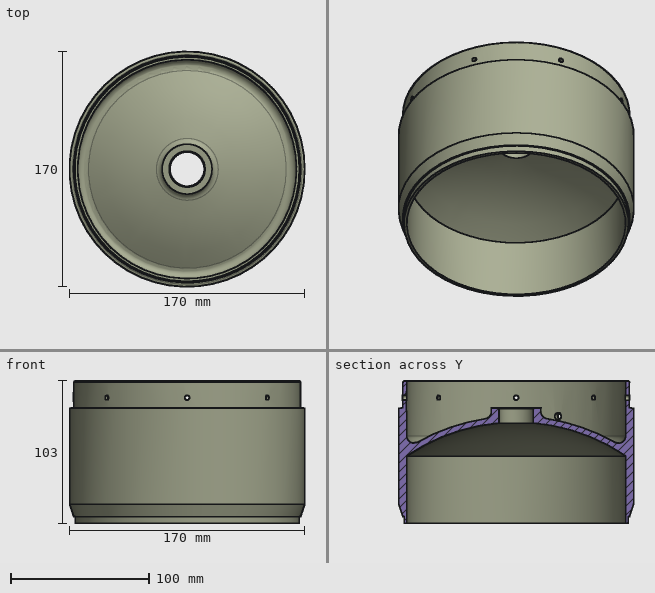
import cadquery as cq
import math

height = 103.0
body_radius = 85.0
collar_radius = 164.0 / 2
foot_radius = 162.0 / 2
inner_radius = 158.0 / 2
foot_height = 5.0
taper_top = 14.0
collar_bottom = 83.6
rim_chamfer = 1.0
shoulder_rise = 0.5
shoulder_radius = 83.0

dome_radius = 145.4
dome_center_z = -67.8
web_thickness = 4.6
blend_radius = 5.1

hub_radius = 36.0 / 2
hub_top = 83.5
bore_radius = 24.6 / 2
bore_chamfer = 0.7

collar_hole_diameter = 3.2
collar_hole_count = 8
collar_hole_z = 90.8
cut_clearance = 1.7
side_hole_diameter = 5.0
side_hole_angle = 67.5
side_hole_heights = (64.3, 77.4)


def sphere_height(radius, distance):
    """Height of a dome surface at a distance from the drum axis."""
    return dome_center_z + math.sqrt(radius**2 - distance**2)


def dome_contact(center_distance):
    """Contact point on the dome and center height of a blend arc resting on it."""
    center_z = sphere_height(dome_radius + blend_radius, center_distance)
    contact_ratio = dome_radius / (dome_radius + blend_radius)
    contact = (
        center_distance * contact_ratio,
        dome_center_z + (center_z - dome_center_z) * contact_ratio,
    )
    return contact, center_z


def blend_middle(center_distance, center_z, contact, wall_side):
    """Midpoint of the blend arc; wall_side is 1 for an outer wall and -1 for an inner one."""
    direction_r = (contact[0] - center_distance) / blend_radius + wall_side
    direction_z = (contact[1] - center_z) / blend_radius
    scale = blend_radius / math.hypot(direction_r, direction_z)
    return center_distance + direction_r * scale, center_z + direction_z * scale


def make_wall():
    profile = (
        cq.Workplane("XZ")
        .moveTo(inner_radius, 0)
        .lineTo(foot_radius, 0)
        .lineTo(foot_radius, foot_height)
        .lineTo(collar_radius, foot_height)
        .lineTo(body_radius, taper_top)
        .lineTo(body_radius, collar_bottom - shoulder_rise)
        .lineTo(shoulder_radius, collar_bottom)
        .lineTo(collar_radius, collar_bottom)
        .lineTo(collar_radius, height - rim_chamfer)
        .lineTo(collar_radius - rim_chamfer, height)
        .lineTo(inner_radius, height)
        .close()
    )
    return profile.revolve(360, (0, 0, 0), (0, 1, 0))


def make_web():
    """Dome shell with the hub, blended into the hub and into the drum wall."""
    hub_center = hub_radius + blend_radius
    wall_center = inner_radius - blend_radius
    hub_contact, hub_blend_z = dome_contact(hub_center)
    wall_contact, wall_blend_z = dome_contact(wall_center)
    hub_middle = blend_middle(hub_center, hub_blend_z, hub_contact, -1)
    wall_middle = blend_middle(wall_center, wall_blend_z, wall_contact, 1)

    root_radius = (inner_radius + foot_radius) / 2
    under_radius = dome_radius - web_thickness
    dome_middle_r = (hub_contact[0] + wall_contact[0]) / 2
    under_middle_r = (bore_radius + root_radius) / 2
    profile = (
        cq.Workplane("XZ")
        .moveTo(bore_radius, sphere_height(under_radius, bore_radius))
        .lineTo(bore_radius, hub_top - bore_chamfer)
        .lineTo(bore_radius + bore_chamfer, hub_top)
        .lineTo(hub_radius, hub_top)
        .lineTo(hub_radius, hub_blend_z)
        .threePointArc(hub_middle, hub_contact)
        .threePointArc((dome_middle_r, sphere_height(dome_radius, dome_middle_r)), wall_contact)
        .threePointArc(wall_middle, (inner_radius, wall_blend_z))
        .lineTo(root_radius, wall_blend_z)
        .lineTo(root_radius, sphere_height(under_radius, root_radius))
        .threePointArc(
            (under_middle_r, sphere_height(under_radius, under_middle_r)),
            (bore_radius, sphere_height(under_radius, bore_radius)),
        )
        .close()
    )
    return profile.revolve(360, (0, 0, 0), (0, 1, 0))


def radial_hole(diameter, z, angle):
    """Cutter through one side of the wall, at an angle from +X."""
    start_radius = inner_radius - blend_radius
    cutter = (
        cq.Workplane("YZ", origin=(start_radius, 0, 0))
        .center(0, z)
        .circle(diameter / 2)
        .extrude(body_radius - start_radius + cut_clearance)
    )
    return cutter.rotate((0, 0, 0), (0, 0, 1), angle)


result = make_wall().union(make_web())

for index in range(collar_hole_count):
    hole_angle = index * 360 / collar_hole_count
    result = result.cut(radial_hole(collar_hole_diameter, collar_hole_z, hole_angle))

for hole_z in side_hole_heights:
    result = result.cut(radial_hole(side_hole_diameter, hole_z, side_hole_angle))